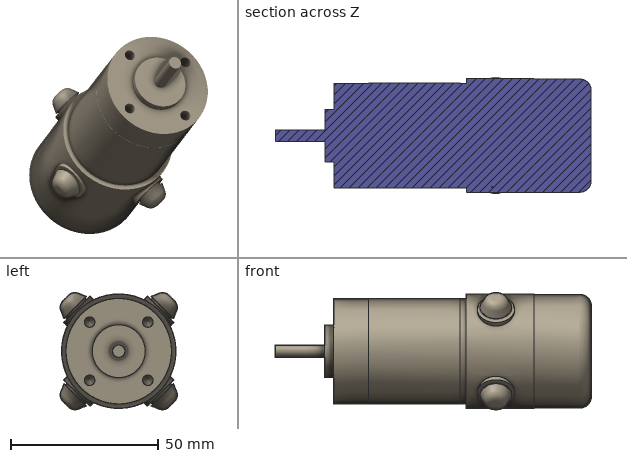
import cadquery as cq
import math

total_length = 107.6
shaft_diameter = 4.2
pilot_start = 16.9
pilot_diameter = 18.0
housing_start = 19.9
housing_diameter = 35.8
tube_start = 31.8
tube_end = 62.9
tube_diameter = 35.9
collar_start = 65.0
collar_end = 88.0
collar_diameter = 39.0
rear_diameter = 38.7
rear_fillet = 4.1

hole_count = 4
hole_diameter = 3.5
hole_circle_diameter = 28.0
hole_depth = 8.0
drill_point_angle = 118.0

cap_count = 4
first_angle = 45.0
cap_x = 75.1
cap_root = 16.1
flange_radius = 6.3
flange_top = 20.1
neck_radius = 4.6
dome_base = 21.0
dome_top = 25.5
dome_base_radius = 5.4
dome_draft = 23.0
dome_fillet = 2.9


def cylinder_along_x(start, end, diameter):
    return cq.Workplane("YZ", origin=(start, 0, 0)).circle(diameter / 2).extrude(end - start)


def copies_about_axis(shape, count):
    """Repeat a shape lying above the motor axis, starting at the first angle."""
    copies = []
    for index in range(count):
        angle = first_angle + index * 360.0 / count
        copies.append(shape.rotate((0, 0, 0), (1, 0, 0), angle))
    return copies


def make_body():
    shaft = cylinder_along_x(0, pilot_start, shaft_diameter)
    pilot = cylinder_along_x(pilot_start, housing_start, pilot_diameter)
    housing = cylinder_along_x(housing_start, collar_start, housing_diameter)
    tube = cylinder_along_x(tube_start, tube_end, tube_diameter)
    collar = cylinder_along_x(collar_start, collar_end, collar_diameter)
    rear = cylinder_along_x(collar_end, total_length, rear_diameter)
    rear = rear.faces(">X").edges().fillet(rear_fillet)
    return shaft.union(pilot).union(housing).union(tube).union(collar).union(rear)


def make_mounting_hole():
    radius = hole_diameter / 2
    point_length = radius / math.tan(math.radians(drill_point_angle / 2))
    axis_height = hole_circle_diameter / 2
    return (
        cq.Workplane("XZ", origin=(housing_start, 0, axis_height))
        .polyline([(0, 0), (0, radius), (hole_depth, radius), (hole_depth + point_length, 0)])
        .close()
        .revolve(360, (0, 0), (1, 0))
    )


def make_brush_cap():
    base = cq.Workplane("XY", origin=(cap_x, 0, cap_root))
    flange = base.circle(flange_radius).extrude(flange_top - cap_root)
    neck = base.circle(neck_radius).extrude(dome_base - cap_root)
    dome = (
        cq.Workplane("XY", origin=(cap_x, 0, dome_base))
        .circle(dome_base_radius)
        .extrude(dome_top - dome_base, taper=dome_draft)
        .faces(">Z").edges().fillet(dome_fillet)
    )
    return flange.union(neck).union(dome)


result = make_body()
for brush_cap in copies_about_axis(make_brush_cap(), cap_count):
    result = result.union(brush_cap)
for mounting_hole in copies_about_axis(make_mounting_hole(), hole_count):
    result = result.cut(mounting_hole)